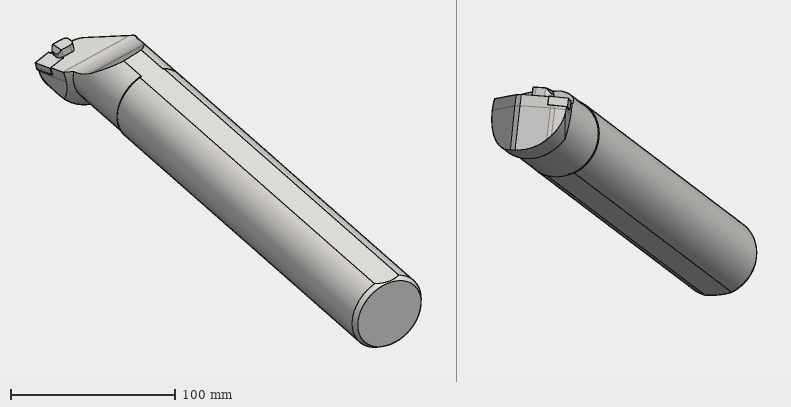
import cadquery as cq
import math

LENGTH = 349.8

SHANK_DIAMETER = 50.0
SHANK_RADIUS = SHANK_DIAMETER / 2
FLAT_HEIGHT = 23.5
END_CHAMFER_LENGTH = 3.0
END_CHAMFER_DEPTH = 2.0

NECK_DIAMETER = 49.3
NECK_RADIUS = NECK_DIAMETER / 2
NECK_REAR = 80.5
NECK_Y = SHANK_RADIUS - NECK_RADIUS

HEAD_RADIUS = 29.5
HEAD_REAR = 29.7
HEAD_Y = SHANK_RADIUS - HEAD_RADIUS

RAKE_Z = 5.2
RAKE_SLOPE_X = 0.1
RAKE_SLOPE_Y = 0.18

SCOOP_START = 24.5
SCOOP_RADIUS = 49.0
SCOOP_ANGLE = math.radians(27)
SCOOP_WIDTH = 140.0

FACE_X = 1.0
FACE_TOP_Y = -5.0
SLANT_START = (3.0, -0.7)
SLANT_LENGTH = 70.0
SEAT_INSET = 0.7
HEEL_FLAT = 2.8
EDGE_ANGLE = math.radians(14)
EDGE_END_X = 31.5
BAND_DEPTH = 7.0
RELIEF_TAPER = 2.0
CLEAR = 42.0

TIP = (2.55, -35.5)
INSERT_WIDTH = 12.5
INSERT_LENGTH = 12.2
INSERT_THICKNESS = 5.2

NOSE_WIDTH = 9.5
NOSE_HEIGHT = 5.2
NOSE_X = 6.3
NOSE_BACK_Y = -10.5
NOSE_FRONT_Y = -23.0
NOSE_CORNER = 3.0
NOSE_BEVEL = 2.8


def rake_plane(depth=0.0):
    """Plane parallel to the rake face, moved into the head by depth."""
    normal = cq.Vector(-RAKE_SLOPE_X, -RAKE_SLOPE_Y, 1).normalized()
    origin = cq.Vector(0, 0, RAKE_Z) - normal * depth
    return cq.Plane(origin=origin.toTuple(), xDir=(1, 0, RAKE_SLOPE_X), normal=normal.toTuple())


def rod(start, end, radius, center_y):
    return cq.Workplane("YZ", origin=(start, center_y, 0)).circle(radius).extrude(end - start)


def tip_point(along, inward):
    """Point in the rake plane, measured from the tip along its two square sides."""
    cosine = math.cos(EDGE_ANGLE)
    sine = math.sin(EDGE_ANGLE)
    return (TIP[0] + along * cosine - inward * sine, TIP[1] + along * sine + inward * cosine)


def make_shank():
    shank = (
        cq.Workplane("XY")
        .moveTo(NECK_REAR, 0)
        .lineTo(NECK_REAR, SHANK_RADIUS)
        .lineTo(LENGTH - END_CHAMFER_LENGTH, SHANK_RADIUS)
        .lineTo(LENGTH, SHANK_RADIUS - END_CHAMFER_DEPTH)
        .lineTo(LENGTH, 0)
        .close()
        .revolve(360, (0, 0, 0), (1, 0, 0))
    )
    return shank.intersect(cq.Workplane("XY").box(2 * LENGTH, 2 * CLEAR, 2 * FLAT_HEIGHT))


def make_head_rear_cone():
    """45 degree cone on the neck axis that brings the head down to the neck."""
    front_radius = NECK_RADIUS + HEAD_REAR
    return (
        cq.Workplane("XY")
        .polyline([
            (0, NECK_Y),
            (0, NECK_Y + front_radius),
            (HEAD_REAR, NECK_Y + NECK_RADIUS),
            (HEAD_REAR, NECK_Y),
        ])
        .close()
        .revolve(360, (0, NECK_Y, 0), (1, NECK_Y, 0))
    )


def make_front_blank():
    head = rod(0, HEAD_REAR, HEAD_RADIUS, HEAD_Y).intersect(make_head_rear_cone())
    neck = rod(0, NECK_REAR, NECK_RADIUS, NECK_Y)
    top_clearance = cq.Workplane("XY", origin=(0, 0, FLAT_HEIGHT)).rect(2 * LENGTH, 2 * CLEAR).extrude(CLEAR)
    return head.union(neck).cut(top_clearance)


def head_outline(depth):
    corner_x, corner_y = tip_point(SEAT_INSET, SEAT_INSET)
    edge_end_y = corner_y + (EDGE_END_X - corner_x) * math.tan(EDGE_ANGLE)
    heel_y = corner_y + (corner_x - FACE_X) / math.tan(EDGE_ANGLE)
    heel_half = HEEL_FLAT / 2
    slant_end = (SLANT_START[0] + SLANT_LENGTH, SLANT_START[1] + SLANT_LENGTH)
    rear_x = NECK_REAR + CLEAR
    return cq.Workplane(rake_plane(depth)).polyline([
        (FACE_X, heel_y + heel_half),
        (FACE_X + heel_half * math.sin(EDGE_ANGLE), heel_y - heel_half * math.cos(EDGE_ANGLE)),
        (corner_x, corner_y),
        (EDGE_END_X, edge_end_y),
        (EDGE_END_X, -CLEAR),
        (rear_x, -CLEAR),
        (rear_x, slant_end[1]),
        slant_end,
        SLANT_START,
        (FACE_X, FACE_TOP_Y),
    ]).close()


def make_head_limits():
    band = head_outline(BAND_DEPTH).extrude(BAND_DEPTH + CLEAR)
    relief = head_outline(BAND_DEPTH).extrude(-2 * CLEAR, taper=RELIEF_TAPER)
    return band.union(relief)


def make_scoop():
    arc_mid = SCOOP_ANGLE / 2
    arc_x = SCOOP_START + SCOOP_RADIUS * math.sin(SCOOP_ANGLE)
    arc_height = SCOOP_RADIUS * (1 - math.cos(SCOOP_ANGLE))
    rake = rake_plane()
    side = cq.Plane(origin=rake.origin.toTuple(), xDir=rake.xDir.toTuple(), normal=(-rake.yDir).toTuple())
    return (
        cq.Workplane(side)
        .moveTo(-CLEAR, 0)
        .lineTo(SCOOP_START, 0)
        .threePointArc(
            (SCOOP_START + SCOOP_RADIUS * math.sin(arc_mid), SCOOP_RADIUS * (1 - math.cos(arc_mid))),
            (arc_x, arc_height),
        )
        .lineTo(arc_x + CLEAR, arc_height + CLEAR * math.tan(SCOOP_ANGLE))
        .lineTo(-CLEAR, arc_height + CLEAR * math.tan(SCOOP_ANGLE))
        .close()
        .extrude(SCOOP_WIDTH / 2, both=True)
    )


def make_insert():
    return (
        cq.Workplane(rake_plane())
        .polyline([
            TIP,
            tip_point(INSERT_WIDTH, 0),
            tip_point(INSERT_WIDTH, INSERT_LENGTH),
            tip_point(0, INSERT_LENGTH),
        ])
        .close()
        .extrude(-INSERT_THICKNESS)
    )


def make_nose():
    rake = rake_plane()
    prism = (
        cq.Workplane(rake)
        .center(NOSE_X, (NOSE_BACK_Y + NOSE_FRONT_Y) / 2)
        .rect(NOSE_WIDTH, NOSE_BACK_Y - NOSE_FRONT_Y)
        .extrude(NOSE_HEIGHT)
        .edges(cq.selectors.ParallelDirSelector(rake.zDir))
        .fillet(NOSE_CORNER)
    )
    end = cq.Plane(origin=rake.origin.toTuple(), xDir=rake.yDir.toTuple(), normal=rake.xDir.toTuple())
    bevel = (
        cq.Workplane(end)
        .polyline([
            (NOSE_FRONT_Y, NOSE_HEIGHT - NOSE_BEVEL),
            (NOSE_FRONT_Y + NOSE_BEVEL, NOSE_HEIGHT),
            (NOSE_FRONT_Y, NOSE_HEIGHT),
        ])
        .close()
        .extrude(CLEAR)
    )
    return prism.cut(bevel)


def make_holder(insert):
    front = make_front_blank().intersect(make_head_limits()).cut(make_scoop())
    return make_shank().union(front).union(make_nose()).cut(insert)


insert = make_insert()
holder = make_holder(insert)
result = cq.Compound.makeCompound([holder.val(), insert.val()])